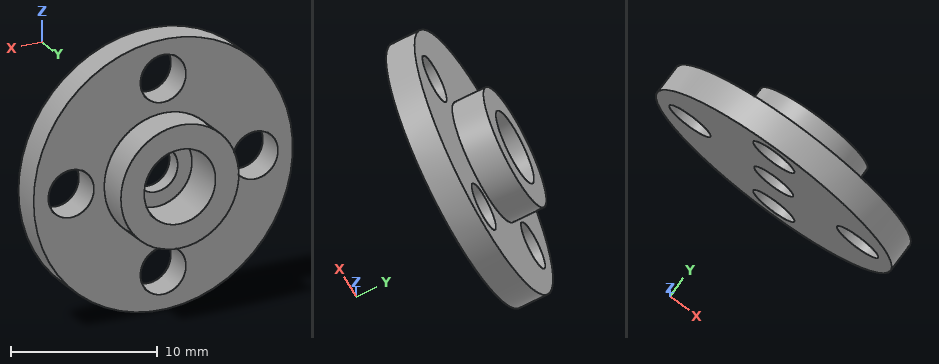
import cadquery as cq

flange_diameter = 20
flange_thickness = 2.2
total_depth = 4.6

boss_diameter = 9.1

bore_diameter = 3.3
bore_length = 1.2
counterbore_diameter = 5.5

mount_hole_diameter = 3.5
mount_hole_count = 4
mount_circle_radius = 7.1


def cylinder(diameter, start_y, end_y):
    """Solid cylinder on the Y axis between two Y positions."""
    plane = cq.Workplane("XZ", origin=(0, start_y, 0))
    return plane.circle(diameter / 2).extrude(start_y - end_y)


def mount_holes():
    """Ring of cylinders that cut the mounting holes through the flange."""
    ring = cq.Workplane("XZ").polarArray(mount_circle_radius, 0, 360, mount_hole_count)
    return ring.circle(mount_hole_diameter / 2).extrude(-flange_thickness)


flange = cylinder(flange_diameter, 0, flange_thickness)
boss = cylinder(boss_diameter, flange_thickness, total_depth)
bore = cylinder(bore_diameter, 0, bore_length)
counterbore = cylinder(counterbore_diameter, bore_length, total_depth)

result = flange.union(boss).cut(bore).cut(counterbore).cut(mount_holes())